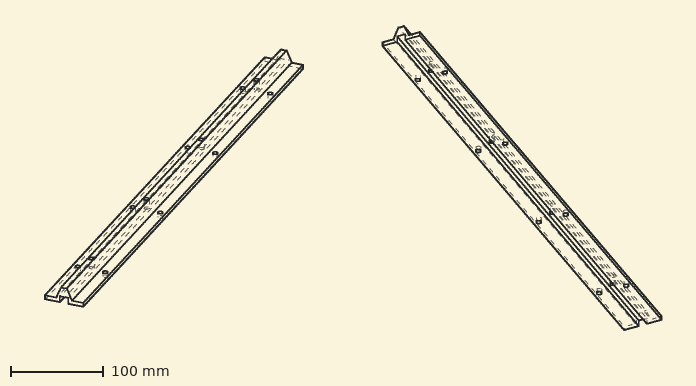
import cadquery as cq

length = 599.5
base_width = 45.0
height = 18.5

flange_thickness = 5.0
rib_foot_width = 18.5
rib_top_width = 6.5
cradle_depth = 0.5
channel_width = 9.5
channel_height = 7.0

hole_diameter = 5.5
hole_pitch = 150.0
holes_per_row = 4
flange_hole_spacing = 32.5


def rail_body():
    """Flanged rail with a tapered rib and a shallow concave cradle on top."""
    half_base = base_width / 2
    half_foot = rib_foot_width / 2
    half_top = rib_top_width / 2
    return (
        cq.Workplane("XZ")
        .moveTo(-half_base, 0)
        .lineTo(half_base, 0)
        .lineTo(half_base, flange_thickness)
        .lineTo(half_foot, flange_thickness)
        .lineTo(half_top, height)
        .threePointArc((0, height - cradle_depth), (-half_top, height))
        .lineTo(-half_foot, flange_thickness)
        .lineTo(-half_base, flange_thickness)
        .close()
        .extrude(length / 2, both=True)
    )


def underside_channel():
    """Rectangular channel running the full length under the rib."""
    return cq.Workplane("XY").rect(channel_width, length).extrude(channel_height)


def mounting_holes():
    """Through holes: one row in each flange and one along the rib."""
    return (
        cq.Workplane("XY")
        .rarray(flange_hole_spacing / 2, hole_pitch, 3, holes_per_row)
        .circle(hole_diameter / 2)
        .extrude(height)
    )


result = rail_body().cut(underside_channel()).cut(mounting_holes())